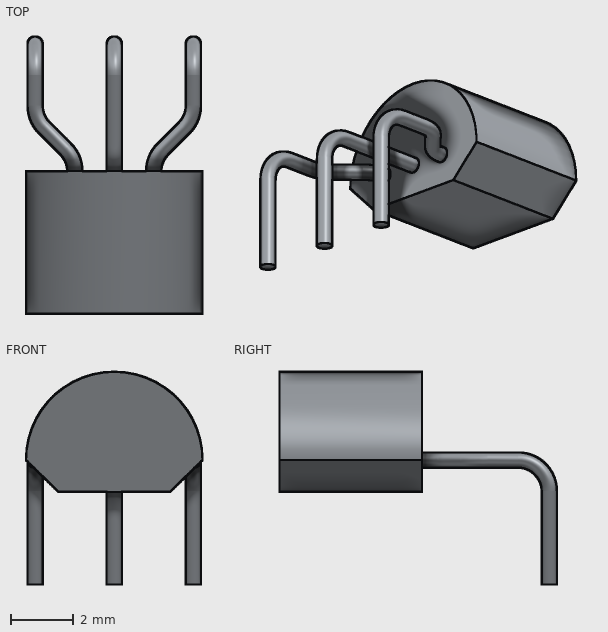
import cadquery as cq
import math

body_radius = 2.841
body_length = 4.585
body_drop = 1.03
flat_half_width = 1.79

lead_diameter = 0.5
lead_radius = lead_diameter / 2
bend_radius = 1.0
down_angle = 90
overall_length = 8.92
lead_tip_z = -4.001
inner_pitch = 1.27
outer_pitch = 2.54

lead_y = overall_length - lead_radius
down_bend_start_y = lead_y - bend_radius

spread_angle = 45
spread_turn = math.radians(spread_angle)
bend_pair_side = 2 * bend_radius * (1 - math.cos(spread_turn))
bend_pair_run = 2 * bend_radius * math.sin(spread_turn)
diagonal_run = (outer_pitch - inner_pitch - bend_pair_side) / math.tan(spread_turn)
spread_end_y = body_length + bend_pair_run + diagonal_run


def make_body():
    """Extrude the D-shaped section from the front face to the rear face."""
    return (
        cq.Workplane("XZ")
        .moveTo(-body_radius, 0)
        .threePointArc((0, body_radius), (body_radius, 0))
        .lineTo(flat_half_width, -body_drop)
        .lineTo(-flat_half_width, -body_drop)
        .close()
        .extrude(-body_length)
    )


def arc(start, middle, end):
    return cq.Edge.makeThreePointArc(cq.Vector(*start), cq.Vector(*middle), cq.Vector(*end))


def line(start, end):
    return cq.Edge.makeLine(cq.Vector(*start), cq.Vector(*end))


def bend_offset(angle):
    """Sideways and forward travel along a bend turned through an angle in degrees."""
    turn = math.radians(angle)
    return bend_radius * (1 - math.cos(turn)), bend_radius * math.sin(turn)


def spread_edges(side):
    """Two opposite bends that carry an outer lead to its wider pitch."""
    mid_side, mid_run = bend_offset(spread_angle / 2)
    end_side, end_run = bend_offset(spread_angle)
    start_x = side * inner_pitch
    finish_x = side * outer_pitch
    first_bend_end = (start_x + side * end_side, body_length + end_run, 0)
    second_bend_start = (finish_x - side * end_side, spread_end_y - end_run, 0)
    return [
        arc(
            (start_x, body_length, 0),
            (start_x + side * mid_side, body_length + mid_run, 0),
            first_bend_end,
        ),
        line(first_bend_end, second_bend_start),
        arc(
            second_bend_start,
            (finish_x - side * mid_side, spread_end_y - mid_run, 0),
            (finish_x, spread_end_y, 0),
        ),
    ]


def down_edges(x, start_y):
    """Straight run rearward, a quarter bend, then straight down to the tip."""
    mid_drop, mid_run = bend_offset(down_angle / 2)
    bend_start = (x, down_bend_start_y, 0)
    bend_end = (x, lead_y, -bend_radius)
    return [
        line((x, start_y, 0), bend_start),
        arc(bend_start, (x, down_bend_start_y + mid_run, -mid_drop), bend_end),
        line(bend_end, (x, lead_y, lead_tip_z)),
    ]


def make_lead(side):
    """Build one lead: side is -1, 0 or 1 for left, centre or right."""
    if side == 0:
        edges = down_edges(0, body_length)
    else:
        edges = spread_edges(side) + down_edges(side * outer_pitch, spread_end_y)
    path = cq.Workplane(cq.Wire.assembleEdges(edges))
    section = cq.Workplane("XZ", origin=(side * inner_pitch, body_length, 0))
    return section.circle(lead_radius).sweep(path)


result = make_body()
for lead_side in (-1, 0, 1):
    result = result.union(make_lead(lead_side))